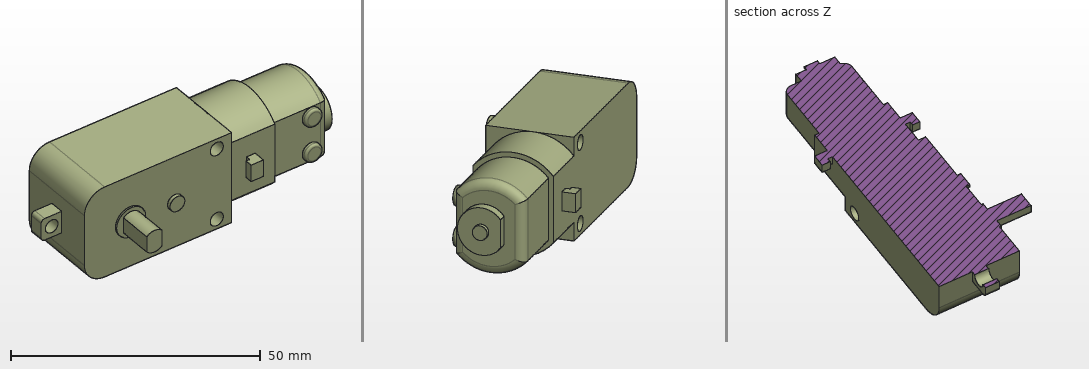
import cadquery as cq


body_width = 18.9
body_length = 36.4
body_height = 22.4
body_corner_radius = 5.0
body_side = body_width / 2

mount_hole_diameter = 3.25
mount_hole_y = 32.75
mount_hole_z = 8.7

neck_width = 17.2
neck_end = 48.3
can_diameter = 20.2
can_width = 15.15
can_end = 62.3
can_edge_radius = 2.0
can_x = neck_width / 2 - body_side

boss_diameter = 10.2
boss_flat_distance = 4.1
boss_end = 64.4
shaft_diameter = 3.2

tab_width = 3.3
tab_length = 5.1
tab_height = 5.35
tab_corner_radius = 0.85
tab_hole_diameter = 3.1
tab_hole_y = -2.45

overall_length = 70.4
shaft_end = overall_length - tab_length

clip_tip_left = -12.4
clip_tip_right = 10.55
clip_lip_left = 2.0
clip_lip_right = 1.75
clip_height = 4.1
clip_back = 43.45
clip_front = 40.4
clip_notch = 41.3

axle_y = 11.25
axle_diameter = 5.35
axle_width = 3.8
axle_tip = 17.8
collar_diameter = 7.2
collar_thickness = 0.4
pin_diameter = 3.65
pin_y = 22.4
pin_length = 0.85

button_diameter = 4.4
button_height = 1.1
button_edge_radius = 0.55
button_y = 58.0
button_z = 4.4

overlap = 0.7


def rod_y(diameter, y_start, y_end, x=0.0):
    """Round bar along Y."""
    plane = cq.Workplane("XZ", origin=(x, y_start, 0))
    return plane.circle(diameter / 2).extrude(y_start - y_end)


def rod_x(diameter, x_start, x_end, y, z=0.0):
    """Round bar along X."""
    plane = cq.Workplane("YZ", origin=(x_start, y, z))
    return plane.circle(diameter / 2).extrude(x_end - x_start)


def flatted_rod_y(diameter, width, y_start, y_end, x):
    """Round bar along Y with two flats facing -X and +X."""
    length = y_end - y_start
    slab = cq.Workplane("XY").box(width, length, diameter).translate((x, y_start + length / 2, 0))
    return rod_y(diameter, y_start, y_end, x).intersect(slab)


def make_body():
    body = cq.Workplane("XY").box(body_width, body_length, body_height)
    body = body.translate((0, body_length / 2, 0))
    body = body.faces("<Y").edges("|X").fillet(body_corner_radius)
    for z in (-mount_hole_z, mount_hole_z):
        body = body.cut(rod_x(mount_hole_diameter, -body_side, body_side, mount_hole_y, z))
    return body


def make_motor():
    neck = flatted_rod_y(body_height, neck_width, body_length - overlap, neck_end, can_x)
    can = flatted_rod_y(can_diameter, can_width, neck_end - overlap, can_end, can_x)
    can = can.faces(">Y").edges().fillet(can_edge_radius)
    boss = rod_y(boss_diameter, can_end - overlap, boss_end)
    flat_cut = cq.Workplane("XY").box(boss_diameter, 2 * overall_length, boss_diameter)
    boss = boss.cut(flat_cut.translate((-boss_flat_distance - boss_diameter / 2, can_end, 0)))
    shaft = rod_y(shaft_diameter, boss_end - overlap, shaft_end)
    return neck.union(can).union(boss).union(shaft)


def make_tab():
    length = tab_length + overlap
    tab = cq.Workplane("XY").box(tab_width, length, tab_height)
    tab = tab.translate((0, length / 2 - tab_length, 0))
    tab = tab.faces("<Y").edges("|X").fillet(tab_corner_radius)
    return tab.cut(rod_x(tab_hole_diameter, -tab_width, tab_width, tab_hole_y))


def make_clip(root_x, tip_x, lip_x):
    """L-shaped hook reaching from the neck to tip_x, its lip pointing to -Y."""
    outline = [
        (root_x, clip_back),
        (tip_x, clip_back),
        (tip_x, clip_front),
        (lip_x, clip_front),
        (lip_x, clip_notch),
        (root_x, clip_notch),
    ]
    return cq.Workplane("XY").polyline(outline).close().extrude(clip_height / 2, both=True)


def make_axle():
    axle = rod_x(axle_diameter, body_side - overlap, axle_tip, axle_y)
    slab = cq.Workplane("XY").box(2 * overall_length, axle_width, axle_diameter)
    axle = axle.intersect(slab.translate((0, axle_y, 0)))
    collar = rod_x(collar_diameter, body_side - overlap, body_side + collar_thickness, axle_y)
    return axle.union(collar)


def make_button(z):
    can_side = can_x + can_width / 2
    button = rod_x(button_diameter, can_side - overlap, can_side + button_height, button_y, z)
    return button.faces(">X").edges().fillet(button_edge_radius)


neck_right = can_x + neck_width / 2
left_clip = make_clip(-body_side + overlap, clip_tip_left, clip_tip_left + clip_lip_left)
right_clip = make_clip(neck_right - overlap, clip_tip_right, clip_tip_right - clip_lip_right)
pin = rod_x(pin_diameter, body_side - overlap, body_side + pin_length, pin_y)

result = make_body()
for feature in (make_motor(), make_tab(), left_clip, right_clip, make_axle(), pin):
    result = result.union(feature)
for side in (-1, 1):
    result = result.union(make_button(side * button_z))